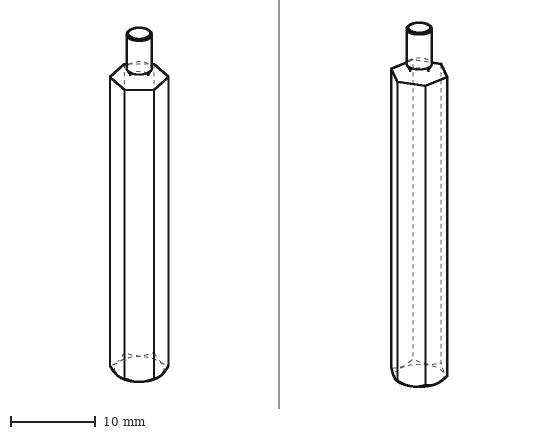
import cadquery as cq
import math

total_length = 46.0
across_corners = 6.95

stud_length = 6.0
stud_diameter = 3.0
stud_tip_chamfer = 0.2

undercut_length = 1.2
neck_diameter = 2.1
neck_fillet = 0.28
undercut_cone_angle = 30.0

bottom_face_diameter = 5.9
corner_chamfer_height = 0.5

body_length = total_length - stud_length


def chamfered_hexagon():
    """Hexagonal bar, corners on the X axis, trimmed by a cone at the bottom."""
    hexagon = cq.Workplane("XY").polygon(6, across_corners).extrude(body_length)
    corner_radius = across_corners / 2
    envelope = (
        cq.Workplane("XZ")
        .lineTo(bottom_face_diameter / 2, 0)
        .lineTo(corner_radius, corner_chamfer_height)
        .lineTo(corner_radius, body_length)
        .lineTo(0, body_length)
        .close()
        .revolve(360, (0, 0, 0), (0, 1, 0))
    )
    return hexagon.intersect(envelope)


def undercut_stud():
    """Round stud with a chamfered tip and a filleted undercut at its root."""
    stud_radius = stud_diameter / 2
    neck_radius = neck_diameter / 2
    angle = math.radians(undercut_cone_angle)
    undercut_top = body_length + undercut_length

    root_centre_z = body_length + neck_fillet
    root_mid_offset = neck_fillet * math.sqrt(0.5)
    fillet_centre_radius = neck_radius + neck_fillet
    cone_start_radius = fillet_centre_radius - neck_fillet * math.cos(angle)
    cone_start_z = undercut_top - (stud_radius - cone_start_radius) / math.tan(angle)
    upper_centre_z = cone_start_z - neck_fillet * math.sin(angle)
    upper_mid = (
        fillet_centre_radius - neck_fillet * math.cos(angle / 2),
        upper_centre_z + neck_fillet * math.sin(angle / 2),
    )
    root_mid = (fillet_centre_radius - root_mid_offset, root_centre_z - root_mid_offset)

    return (
        cq.Workplane("XZ")
        .moveTo(0, body_length)
        .lineTo(fillet_centre_radius, body_length)
        .threePointArc(root_mid, (neck_radius, root_centre_z))
        .lineTo(neck_radius, upper_centre_z)
        .threePointArc(upper_mid, (cone_start_radius, cone_start_z))
        .lineTo(stud_radius, undercut_top)
        .lineTo(stud_radius, total_length - stud_tip_chamfer)
        .lineTo(stud_radius - stud_tip_chamfer, total_length)
        .lineTo(0, total_length)
        .close()
        .revolve(360, (0, 0, 0), (0, 1, 0))
    )


result = chamfered_hexagon().union(undercut_stud())